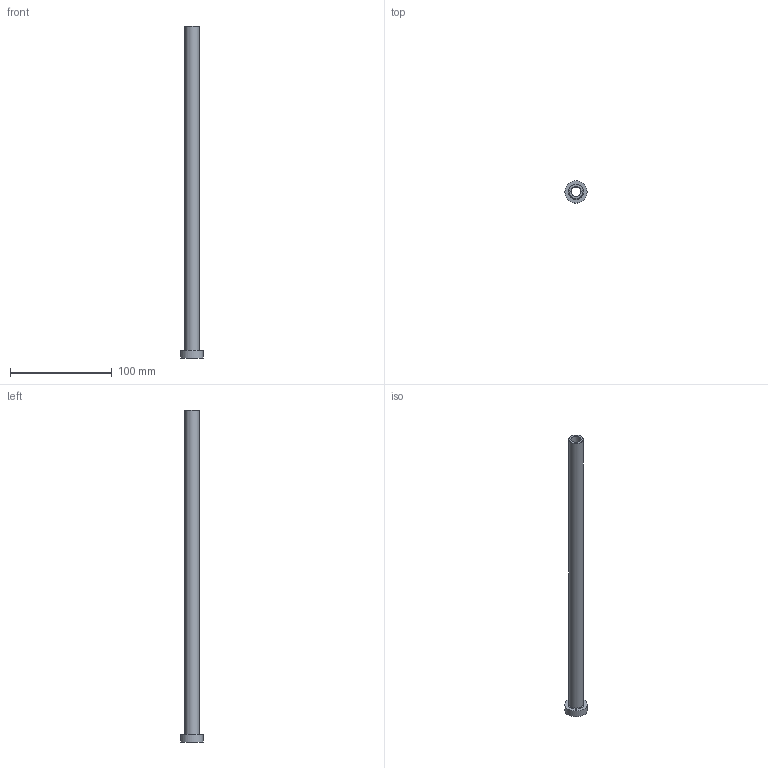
import cadquery as cq

head_diameter = 22.0
head_height = 7.0
shank_diameter = 14.0
bore_diameter = 10.0
overall_length = 327.0
neck_fillet = 0.7

head_radius = head_diameter / 2
shank_radius = shank_diameter / 2


def sleeve_blank():
    """Solid of revolution about Z: head at the bottom, shank rising from it, fillet between them."""
    profile = (
        cq.Workplane("XZ")
        .moveTo(0, 0)
        .lineTo(head_radius, 0)
        .lineTo(head_radius, head_height)
        .lineTo(shank_radius + neck_fillet, head_height)
        .radiusArc((shank_radius, head_height + neck_fillet), neck_fillet)
        .lineTo(shank_radius, overall_length)
        .lineTo(0, overall_length)
        .close()
    )
    return profile.revolve(360, (0, 0, 0), (0, 1, 0))


def through_bore():
    """Cylinder that opens the sleeve along its full length."""
    return cq.Workplane("XY").circle(bore_diameter / 2).extrude(overall_length)


result = sleeve_blank().cut(through_bore())